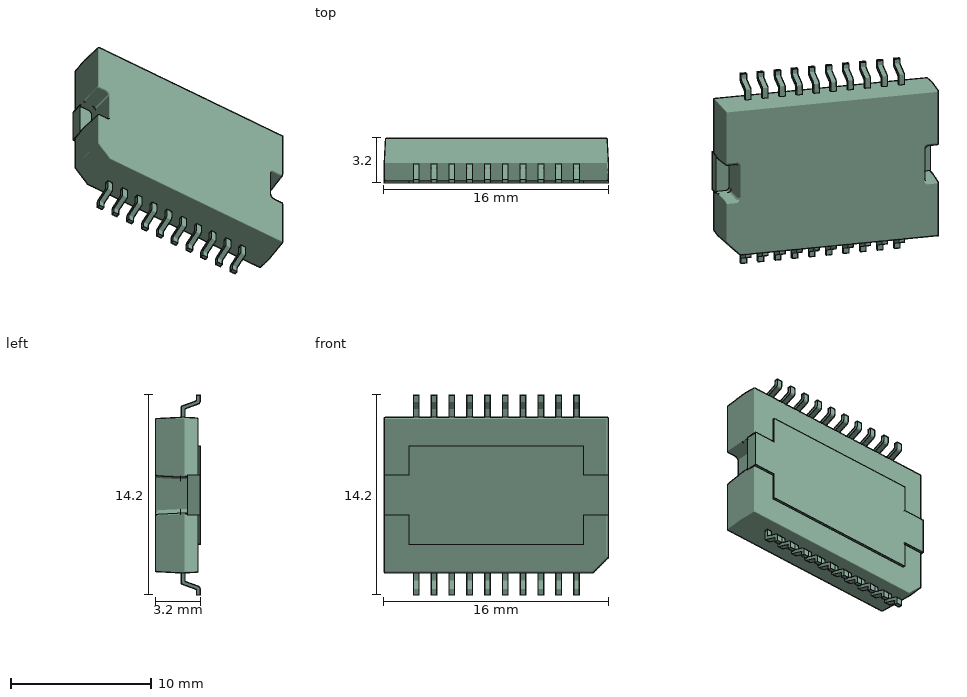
import cadquery as cq
import math


body_length = 16.0
body_width = 11.1
body_front_y = 0.16
body_back_y = 3.2
band_front_y = 1.1
band_back_y = 1.4
draft_angle = 3.0
edge_radius = 0.1
corner_cut = 1.1

notch_width = 2.56
notch_depth = 1.0
notch_floor_radius = 0.27
notch_back_radius = 0.2

slug_length = body_length
slug_tab_width = 2.85
slug_thickness = 0.9
pad_length = 12.45
pad_width = 7.0

leads_per_row = 10
lead_row_span = 11.42
lead_width = 0.42
lead_thickness = 0.27
lead_tip_span = 14.25
lead_front_y = 1.09
lead_root_depth = 0.32
knee_z = 6.15
lead_slope = math.radians(20)
knee_inner_radius = 0.05
ankle_inner_radius = 0.1
ankle_outer_radius = 0.24
soft_knee_radius = 0.25
tight_knee_radius = 0.08
first_soft_knee = 3
last_soft_knee = 6


def block(length, width, front_y, back_y):
    """Block centred on X and Z that reaches from front_y to back_y."""
    depth = back_y - front_y
    return cq.Workplane("XY").box(length, depth, width).translate((0, front_y + depth / 2, 0))


def drafted(start, face, depth):
    """Extrusion that continues an end face of a block and narrows at the draft angle."""
    outline = start.faces(face).wires().toPending().workplane()
    return outline.extrude(depth, taper=draft_angle, combine=False)


def body_block(front_y, back_y):
    """Straight block with the body outline, before the notches are cut."""
    blank = block(body_length, body_width, front_y, back_y)
    blank = blank.edges(">X and <Z").chamfer(corner_cut)
    return blank.edges("|Y").fillet(edge_radius)


def notch_edges(side, front_y, back_y):
    """Selector for the edges centred in one notch between two heights."""
    inner_x = side * (body_length / 2 - 1.5 * notch_depth)
    outer_x = side * (body_length / 2 + notch_depth)
    half_width = 0.75 * notch_width
    return cq.selectors.BoxSelector((inner_x, front_y, -half_width), (outer_x, back_y, half_width))


def notch_cutter(side, growth, front_y, back_y, taper):
    """Cutter for one notch, enlarged by growth at back_y and narrowing towards front_y."""
    half_length = notch_depth + growth
    cutter = (
        cq.Workplane("XZ", origin=(side * body_length / 2, back_y, 0))
        .rect(2 * half_length, notch_width + 2 * growth)
        .extrude(back_y - front_y, taper=taper)
    )
    return cutter.edges("not #Y").fillet(notch_floor_radius)


def make_back():
    """Drafted part behind the parting band, with rounded rims."""
    depth = body_back_y - band_back_y
    growth = depth * math.tan(math.radians(draft_angle))
    back = drafted(body_block(band_front_y, band_back_y), ">Y", depth)
    for side in (-1, 1):
        back = back.cut(notch_cutter(side, growth, band_back_y, body_back_y, draft_angle))
    for side in (-1, 1):
        rim = notch_edges(side, body_back_y - 0.02, body_back_y + 0.02)
        back = back.edges(rim).fillet(notch_back_radius)
    return back.faces(">Y").edges("<Z or >Z").fillet(edge_radius)


def make_front():
    """Parting band and the drafted part in front of it; the slug tabs close the notches."""
    band = body_block(band_front_y, band_back_y)
    front = drafted(band, "<Y", band_front_y - body_front_y)
    front = front.faces("<Y").edges().fillet(edge_radius)
    front = front.union(band)
    profile = body_block(slug_thickness, band_back_y)
    for side in (-1, 1):
        profile = profile.cut(notch_cutter(side, 0, slug_thickness, band_back_y, 0))
        mouth = notch_edges(side, slug_thickness, band_back_y)
        profile = profile.edges("|Y").edges(mouth).fillet(edge_radius)
    waste = block(body_length, body_width, slug_thickness, band_back_y).cut(profile)
    return front.cut(waste)


def make_slug():
    """Pad and tabs share one front face on Y = 0."""
    tab = block(slug_length, slug_tab_width, 0, slug_thickness)
    pad = block(pad_length, pad_width, 0, slug_thickness)
    return tab.union(pad)


def make_lead(knee_outer_radius):
    """Upper lead centred on X = 0: root in the body, knee, sloping leg, ankle and foot."""
    root_z = body_width / 2 - lead_root_depth
    tip_z = lead_tip_span / 2
    back_y = lead_front_y + lead_thickness
    miter = lead_thickness * math.tan((math.pi / 2 - lead_slope) / 2)
    ankle_z = knee_z + miter + lead_front_y * math.tan(lead_slope)
    lead = (
        cq.Workplane("YZ", origin=(-lead_width / 2, 0, 0))
        .moveTo(lead_front_y, root_z)
        .lineTo(back_y, root_z)
        .lineTo(back_y, knee_z + miter)
        .lineTo(lead_thickness, ankle_z)
        .lineTo(lead_thickness, tip_z)
        .lineTo(0, tip_z)
        .lineTo(0, ankle_z - miter)
        .lineTo(lead_front_y, knee_z)
        .close()
        .extrude(lead_width)
    )

    def bend(y, z):
        return cq.selectors.NearestToPointSelector((0, y, z))

    lead = lead.edges(bend(back_y, knee_z + miter)).fillet(knee_outer_radius)
    lead = lead.edges(bend(0, ankle_z - miter)).fillet(ankle_outer_radius)
    lead = lead.edges(bend(lead_front_y, knee_z)).fillet(knee_inner_radius)
    return lead.edges(bend(lead_thickness, ankle_z)).fillet(ankle_inner_radius)


result = make_front().union(make_back()).union(make_slug())
soft_lead = make_lead(soft_knee_radius)
tight_lead = make_lead(tight_knee_radius)
lead_pitch = lead_row_span / (leads_per_row - 1)
for i in range(leads_per_row):
    is_soft = first_soft_knee <= i <= last_soft_knee
    lead = soft_lead if is_soft else tight_lead
    upper_lead = lead.translate((i * lead_pitch - lead_row_span / 2, 0, 0))
    result = result.union(upper_lead).union(upper_lead.mirror("XY"))